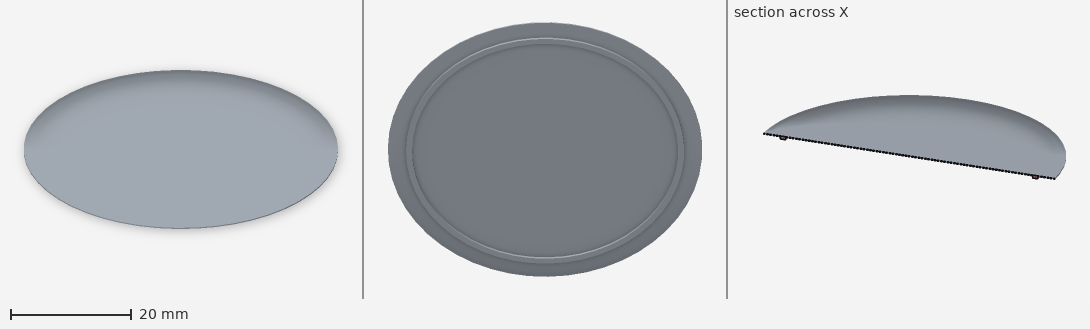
import cadquery as cq

disc_diameter = 52.0
disc_thickness = 0.2
total_thickness = 0.6
step_outer_diameter = 46.0
step_inner_diameter = 44.0

step_height = total_thickness - disc_thickness

disc = cq.Workplane("XY").circle(disc_diameter / 2).extrude(disc_thickness)

ring = (
    cq.Workplane("XY")
    .circle(step_outer_diameter / 2)
    .circle(step_inner_diameter / 2)
    .extrude(-step_height)
)

result = disc.union(ring)